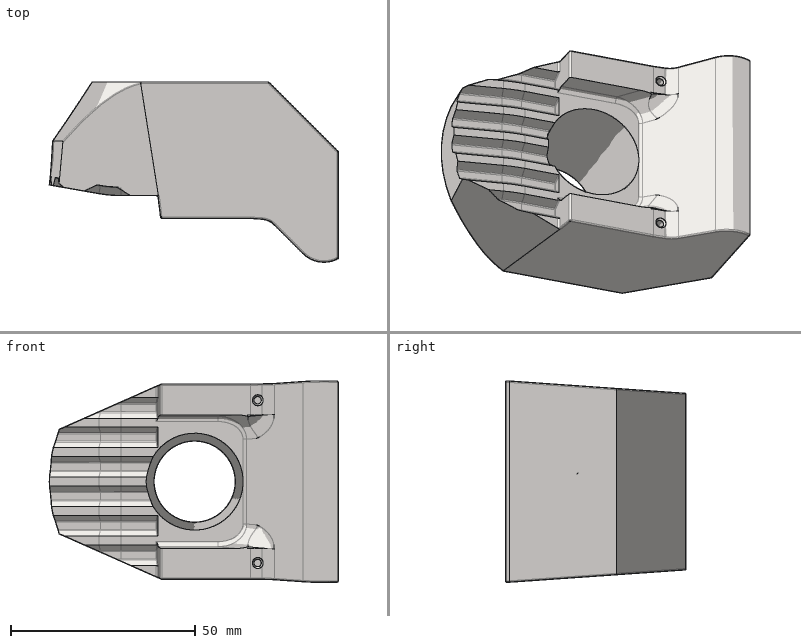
import math
import cadquery as cq


DRAFT = math.tan(math.radians(4))
DEPTH = 49.0
RIGHT_X = 39.0
REAR_HALF_HEIGHT = 24.0
REAR_CHAMFER = 18.9
EDGE_RADIUS = 0.4

SEAT_DEPTH = 30.9
LEG_DEPTH = 37.1
LEG_X = -9.25
STEP_SLOPE = math.tan(math.radians(7))
STEP_RADIUS = 0.5
RAMP_ANGLE = math.radians(45)
RAMP_OFFSET = 17.2
LEG_TILT = math.radians(4)
LEG_TILT_X = 15.1
RAMP_BLEND_RADIUS = 5.2
TOE_RADIUS = 8.0

NOSE_RADIUS = 39.5
NOSE_TIP_DEPTH = 28.0
NOSE_BEND_DEPTH = 16.1
NOSE_REAR_RADIUS = 27.9
NOSE_SIDE_ANGLE = math.radians(23.9)
NOSE_SIDE_X = -9.85
NOSE_EDGE_POINT = (-26.0, -8.0, 19.0)

TOOTH_PITCH = 8.0
TOOTH_FLAT = 2.4
TOOTH_DEPTH = 2.3
ROOT_RADIUS = 0.4
GROOVE_COUNT = 6
GROOVE_END_RADIUS = 0.2
GROOVE_OVERRUN = 1.0
TILT = math.radians(10)
BEND_START_X = -20.0
BEND_END_X = -26.0

POCKET_FLOOR_HALF_WIDTH = 17.6
POCKET_DRAFT = math.tan(math.radians(5))
POCKET_CORNER_RADIUS = 6.5
POCKET_FLOOR_RADIUS = 1.4
RUN_OUT_START_X = 14.3
RUN_OUT_STATIONS = 6
MINIMUM_GAP = 0.02
RUN_OUT_MARGIN = 0.1

BOLT_HOLE_REAR_RADIUS = 11.0
PIN_X = 17.1
PIN_Z = 22.1
PIN_DIAMETER = 2.0
PIN_MOUTH_DIAMETER = 3.0
PIN_DEPTH = 4.0

CLEARANCE = 10.0
FAR = 100.0
SEAT_TIP_X = -NOSE_RADIUS - CLEARANCE

BLEND_CORNER_X = (LEG_DEPTH - LEG_TILT_X * math.tan(LEG_TILT) - RAMP_OFFSET) / (1 - math.tan(LEG_TILT))
BLEND_TANGENT = RAMP_BLEND_RADIUS * math.tan((RAMP_ANGLE - LEG_TILT) / 2)
BLEND_START_X = BLEND_CORNER_X - BLEND_TANGENT * math.cos(LEG_TILT)
BLEND_END_X = BLEND_CORNER_X + BLEND_TANGENT * math.cos(RAMP_ANGLE)


def leg_surface_depth(x):
    """Depth of the leg tail face, following its blend into the ramp."""
    if x <= BLEND_START_X:
        return LEG_DEPTH + max(0, x - LEG_TILT_X) * math.tan(LEG_TILT)
    center_x = BLEND_START_X - RAMP_BLEND_RADIUS * math.sin(LEG_TILT)
    center_depth = leg_surface_depth(BLEND_START_X) + RAMP_BLEND_RADIUS * math.cos(LEG_TILT)
    return center_depth - math.sqrt(RAMP_BLEND_RADIUS**2 - (x - center_x) ** 2)


def pocket_half_width(depth):
    """Half width of the drafted pocket at a given depth."""
    return POCKET_FLOOR_HALF_WIDTH + POCKET_DRAFT * (depth - SEAT_DEPTH)


def step_x(depth):
    """X of the sloping step wall between nose and legs at a given depth."""
    return LEG_X - STEP_SLOPE * (LEG_DEPTH - depth)


def ramp_x(depth):
    """X of the 45 degree heel ramp at a given depth."""
    return depth - RAMP_OFFSET


def trace_seat(sketch):
    """Draw the seat towards the nose, where it bends backwards by the tilt angle."""
    bend_radius = (BEND_START_X - BEND_END_X) / math.sin(TILT)
    bend_mid = (
        BEND_START_X - bend_radius * math.sin(TILT / 2),
        -SEAT_DEPTH + bend_radius * (1 - math.cos(TILT / 2)),
    )
    bend_end = (BEND_END_X, -SEAT_DEPTH + bend_radius * (1 - math.cos(TILT)))
    tip = (SEAT_TIP_X, bend_end[1] + (BEND_END_X - SEAT_TIP_X) * math.tan(TILT))
    return sketch.lineTo(BEND_START_X, -SEAT_DEPTH).threePointArc(bend_mid, bend_end).lineTo(*tip)


def make_outline_prism():
    """Outline in plan, from the blunt nose to the rounded toe."""
    toe_y = TOE_RADIUS - DEPTH
    diagonal = math.sqrt(0.5)
    tangent_depth = DEPTH - TOE_RADIUS * (1 - diagonal)
    tangent_x = ramp_x(tangent_depth)
    toe_x = tangent_x + TOE_RADIUS * diagonal
    toe_end_y = toe_y - math.sqrt(TOE_RADIUS**2 - (RIGHT_X - toe_x) ** 2)

    blend_mid_x = (BLEND_START_X + BLEND_END_X) / 2

    outline = (
        cq.Workplane("XY")
        .moveTo(SEAT_TIP_X, 0)
        .lineTo(RIGHT_X - REAR_CHAMFER, 0)
        .lineTo(RIGHT_X, -REAR_CHAMFER)
        .lineTo(RIGHT_X, toe_end_y)
        .threePointArc((toe_x, -DEPTH), (tangent_x, -tangent_depth))
        .lineTo(BLEND_END_X, -BLEND_END_X - RAMP_OFFSET)
        .threePointArc(
            (blend_mid_x, -leg_surface_depth(blend_mid_x)),
            (BLEND_START_X, -leg_surface_depth(BLEND_START_X)),
        )
        .lineTo(LEG_TILT_X, -LEG_DEPTH)
        .lineTo(LEG_X, -LEG_DEPTH)
        .lineTo(step_x(SEAT_DEPTH), -SEAT_DEPTH)
    )
    outline = trace_seat(outline).close()
    prism = outline.extrude(FAR, both=True)
    for corner in ((LEG_X, -LEG_DEPTH, 0), (step_x(SEAT_DEPTH), -SEAT_DEPTH, 0)):
        prism = prism.edges(cq.selectors.NearestToPointSelector(corner)).fillet(STEP_RADIUS)
    return prism


def make_draft_wedge():
    """Top and bottom faces, spreading from the rear towards the toe."""
    front_half_height = REAR_HALF_HEIGHT + DRAFT * DEPTH
    section = [
        (0, REAR_HALF_HEIGHT),
        (-DEPTH, front_half_height),
        (-DEPTH, -front_half_height),
        (0, -REAR_HALF_HEIGHT),
    ]
    return cq.Workplane("YZ").polyline(section).close().extrude(FAR, both=True)


def make_nose_sides():
    """Prism along Y whose two sides converge towards the nose."""
    corner_z = REAR_HALF_HEIGHT + DRAFT * SEAT_DEPTH
    slope = math.tan(NOSE_SIDE_ANGLE)
    tip_z = corner_z + slope * (SEAT_TIP_X - NOSE_SIDE_X)
    wide_z = corner_z + slope * (RIGHT_X - NOSE_SIDE_X)
    section = [(SEAT_TIP_X, tip_z), (RIGHT_X, wide_z), (RIGHT_X, -wide_z), (SEAT_TIP_X, -tip_z)]
    return cq.Workplane("XZ").polyline(section).close().extrude(DEPTH)


def make_nose_round():
    """Conical nose end about the bolt axis, joined to a block for the rest."""
    bend_radius = NOSE_RADIUS - DRAFT * (NOSE_TIP_DEPTH - NOSE_BEND_DEPTH)
    front_radius = NOSE_RADIUS + DRAFT * (DEPTH - NOSE_TIP_DEPTH)
    cone = (
        cq.Workplane("XY")
        .polyline([
            (0, 0),
            (NOSE_REAR_RADIUS, 0),
            (bend_radius, -NOSE_BEND_DEPTH),
            (front_radius, -DEPTH),
            (0, -DEPTH),
        ])
        .close()
        .revolve(360, (0, 0, 0), (0, 1, 0))
    )
    block_x = -math.sqrt(NOSE_REAR_RADIUS**2 - REAR_HALF_HEIGHT**2)
    block = cq.Workplane("XY").box(RIGHT_X - block_x, DEPTH, FAR, centered=(False, False, True))
    block = block.translate((block_x, -DEPTH, 0))
    return cone.union(block)


def make_grooves():
    """Serration grooves that follow the bent seat and stop at the step wall."""
    seat_path = trace_seat(cq.Workplane("XY").moveTo(LEG_X, -SEAT_DEPTH))
    root_half = TOOTH_FLAT / 2
    mouth_half = (TOOTH_PITCH - TOOTH_FLAT) / 2
    flank_slope = (mouth_half - root_half) / TOOTH_DEPTH
    outer_half = mouth_half + flank_slope * GROOVE_OVERRUN
    corners = [
        (TOOTH_DEPTH, -root_half),
        (TOOTH_DEPTH, root_half),
        (-GROOVE_OVERRUN, outer_half),
        (-GROOVE_OVERRUN, -outer_half),
    ]
    section = cq.Sketch().polygon(corners + corners[:1]).vertices(">X").fillet(ROOT_RADIUS)
    groove = (
        cq.Workplane("YZ", origin=(LEG_X, -SEAT_DEPTH, 0))
        .placeSketch(section)
        .sweep(seat_path)
    )
    limit = (
        cq.Workplane("XY")
        .polyline([
            (-FAR, 0), (step_x(0), 0), (LEG_X, -LEG_DEPTH), (-FAR, -LEG_DEPTH),
        ])
        .close()
        .extrude(FAR, both=True)
    )
    groove = groove.intersect(limit)
    groove = groove.faces(">X").edges("not <Y").fillet(GROOVE_END_RADIUS)
    first_z = -TOOTH_PITCH * (GROOVE_COUNT - 1) / 2
    return [groove.translate((0, 0, first_z + index * TOOTH_PITCH)) for index in range(GROOVE_COUNT)]


def make_pocket():
    """Pocket between the legs, ending in the heel ramp with rounded corners."""
    start_x = step_x(SEAT_DEPTH) - CLEARANCE
    front = DEPTH + CLEARANCE
    pocket = (
        cq.Workplane("XY")
        .polyline([
            (start_x, -SEAT_DEPTH),
            (ramp_x(SEAT_DEPTH), -SEAT_DEPTH),
            (ramp_x(front), -front),
            (start_x, -front),
        ])
        .close()
        .extrude(FAR, both=True)
    )
    floor_half = pocket_half_width(SEAT_DEPTH)
    front_half = pocket_half_width(front)
    walls = (
        cq.Workplane("YZ")
        .polyline([
            (-SEAT_DEPTH, floor_half),
            (-front, front_half),
            (-front, -front_half),
            (-SEAT_DEPTH, -floor_half),
        ])
        .close()
        .extrude(FAR, both=True)
    )
    sharp_pocket = pocket.intersect(walls)
    pocket = sharp_pocket.faces(">(1, 1, 0)").edges("not |Z").fillet(POCKET_CORNER_RADIUS)
    pocket = pocket.faces(">Y").edges("not <X").fillet(POCKET_FLOOR_RADIUS)

    run_out = cq.Workplane("XY").box(FAR, FAR, FAR, centered=(False, True, True))
    run_out = sharp_pocket.intersect(run_out.translate((RUN_OUT_START_X, 0, 0)))
    corner_fill = make_corner_fill()
    run_out = run_out.cut(corner_fill).cut(corner_fill.mirror("XY"))
    return pocket.union(run_out)


def make_corner_section(x):
    """Cross-section at X of the concave fill between pocket wall and ramp."""
    radius = POCKET_CORNER_RADIUS
    ramp_depth = x + RAMP_OFFSET
    height = leg_surface_depth(x) - ramp_depth
    progress = (x - RUN_OUT_START_X) / (BLEND_END_X - RUN_OUT_START_X)
    width = radius * math.sqrt(1 - progress**2)

    stretched = radius * math.sqrt(2)
    end_angle = math.acos(1 - height / stretched)
    start_height = LEG_DEPTH - RUN_OUT_START_X - RAMP_OFFSET
    start_gap = radius * (1 - math.sin(math.acos(1 - start_height / stretched)))
    gap = max(MINIMUM_GAP, start_gap * (1 - progress) ** 2)

    def curve_point(angle):
        depth = ramp_depth + stretched * (1 - math.cos(angle))
        reach = gap + (width - gap) * (1 - math.sin(angle) / math.sin(end_angle))
        return cq.Vector(x, -depth, pocket_half_width(depth) - reach)

    wall_foot = cq.Vector(x, -ramp_depth, pocket_half_width(ramp_depth))
    contact = curve_point(0)
    top = curve_point(end_angle)
    wall_top = cq.Vector(x, top.y, pocket_half_width(-top.y))
    return cq.Wire.assembleEdges([
        cq.Edge.makeLine(wall_foot, contact),
        cq.Edge.makeThreePointArc(contact, curve_point(end_angle / 2), top),
        cq.Edge.makeLine(top, wall_top),
        cq.Edge.makeLine(wall_top, wall_foot),
    ])


def make_corner_fill():
    """Corner fill that tapers to nothing where the leg face meets the ramp."""
    end_x = BLEND_END_X - RUN_OUT_MARGIN
    sections = []
    for index in range(RUN_OUT_STATIONS):
        part = math.sin(math.pi / 2 * index / (RUN_OUT_STATIONS - 1))
        sections.append(make_corner_section(RUN_OUT_START_X + part * (end_x - RUN_OUT_START_X)))
    return cq.Workplane(cq.Solid.makeLoft(sections))


def make_bolt_hole():
    """Drafted bolt hole, widening from the rear to the seat."""
    front_radius = BOLT_HOLE_REAR_RADIUS + DRAFT * DEPTH
    return (
        cq.Workplane("XY")
        .polyline([(0, 0), (BOLT_HOLE_REAR_RADIUS, 0), (front_radius, -DEPTH), (0, -DEPTH)])
        .close()
        .revolve(360, (0, 0, 0), (0, 1, 0))
    )


def make_pin_hole(z):
    """Blind hole with a 45 degree mouth in a leg face."""
    radius = PIN_DIAMETER / 2
    mouth_radius = PIN_MOUTH_DIAMETER / 2
    mouth_depth = leg_surface_depth(PIN_X)
    rim_depth = leg_surface_depth(PIN_X + mouth_radius)
    return (
        cq.Workplane("XY")
        .polyline([
            (0, -rim_depth),
            (mouth_radius, -rim_depth),
            (mouth_radius, -mouth_depth),
            (radius, -mouth_depth + mouth_radius - radius),
            (radius, -mouth_depth + PIN_DEPTH),
            (0, -mouth_depth + PIN_DEPTH),
        ])
        .close()
        .revolve(360, (0, 0, 0), (0, 1, 0))
        .translate((PIN_X, 0, z))
    )


prism = make_outline_prism()
result = prism.intersect(make_draft_wedge())
result = result.faces("<Z or >Z").edges().fillet(EDGE_RADIUS)
result = result.intersect(make_nose_sides()).intersect(make_nose_round())
for side in (1, -1):
    edge_x, edge_y, edge_z = NOSE_EDGE_POINT
    nose_edge = (edge_x, edge_y, side * edge_z)
    result = result.edges(cq.selectors.NearestToPointSelector(nose_edge)).fillet(EDGE_RADIUS)
result = result.cut(make_pocket())
for groove in make_grooves():
    result = result.cut(groove)
result = result.cut(make_bolt_hole())
for pin_z in (PIN_Z, -PIN_Z):
    result = result.cut(make_pin_hole(pin_z))